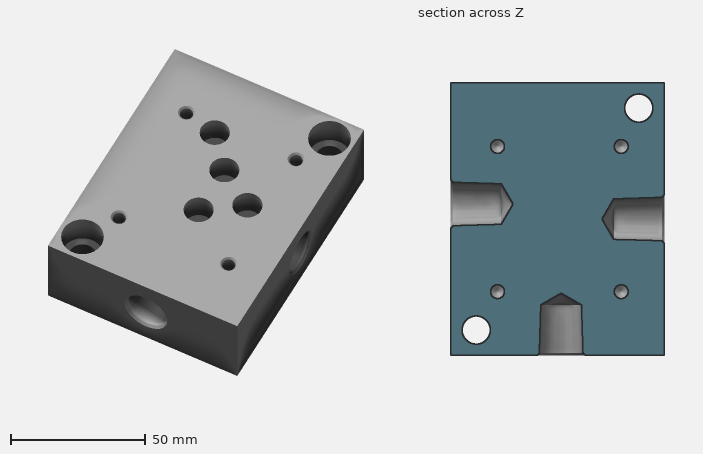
import cadquery as cq
import math

LENGTH_X = 79.5
LENGTH_Y = 101.6
HEIGHT = 31.75

BOLT_SPACING_X = 46.0
BOLT_SPACING_Y = 54.0
BOLT_CENTER_Y = LENGTH_Y / 2
BOLT_RIGHT_X = 63.45
BOLT_LEFT_X = BOLT_RIGHT_X - BOLT_SPACING_X
BOLT_FRONT_Y = BOLT_CENTER_Y - BOLT_SPACING_Y / 2
BOLT_BACK_Y = BOLT_CENTER_Y + BOLT_SPACING_Y / 2
TAP_DIAMETER = 4.98
TAP_MOUTH_DIAMETER = 6.35
TAP_MOUTH_DEPTH = (TAP_MOUTH_DIAMETER - TAP_DIAMETER) / 2
TAP_DEPTH = 16.0

FLOW_DIAMETER = 11.2
FLOW_DEPTH = 11.1
WORK_INSET = 21.4
WORK_OFFSET_Y = 10.3
PRESSURE_INSET = 6.3
TANK_INSET = 32.5
TANK_OFFSET_Y = 23.8
FLOW_HOLES = [
    (BOLT_RIGHT_X - WORK_INSET, BOLT_CENTER_Y - WORK_OFFSET_Y),
    (BOLT_RIGHT_X - WORK_INSET, BOLT_CENTER_Y + WORK_OFFSET_Y),
    (BOLT_RIGHT_X - PRESSURE_INSET, BOLT_CENTER_Y),
    (BOLT_RIGHT_X - TANK_INSET, BOLT_CENTER_Y + TANK_OFFSET_Y),
]

MOUNT_DIAMETER = 10.31
COUNTERBORE_DIAMETER = 15.88
COUNTERBORE_DEPTH = 12.0
MOUNT_INSET = 9.525
MOUNT_HOLES = [
    (MOUNT_INSET, MOUNT_INSET),
    (LENGTH_X - MOUNT_INSET, LENGTH_Y - MOUNT_INSET),
]

PORT_MOUTH_DIAMETER = 17.95
PORT_BORE_DIAMETER = 16.1
PORT_END_DIAMETER = 15.0
PORT_MOUTH_DEPTH = (PORT_MOUTH_DIAMETER - PORT_BORE_DIAMETER) / 2
PORT_DEPTH = 18.8
PORT_Z = HEIGHT / 2
PORT_A_Y = 56.4
PORT_B_X = 41.1

DRILL_POINT_ANGLE = 120.0


def drilled_cutter(mouth_diameter, mouth_depth, bore_diameter, end_diameter, depth):
    """Revolved drill shape: chamfered mouth at Z = 0, bore going down, conical tip."""
    end_radius = end_diameter / 2
    tip_length = end_radius / math.tan(math.radians(DRILL_POINT_ANGLE / 2))
    return (
        cq.Workplane("XZ")
        .lineTo(mouth_diameter / 2, 0)
        .lineTo(bore_diameter / 2, -mouth_depth)
        .lineTo(end_radius, -depth)
        .lineTo(0, -depth - tip_length)
        .close()
        .revolve(360, (0, 0, 0), (0, 1, 0))
    )


def cut_mount_holes(body):
    return (
        body.faces(">Z")
        .workplane(origin=(0, 0, HEIGHT))
        .pushPoints(MOUNT_HOLES)
        .cboreHole(MOUNT_DIAMETER, COUNTERBORE_DIAMETER, COUNTERBORE_DEPTH)
    )


def cut_flow_holes(body):
    return (
        body.faces(">Z")
        .workplane(origin=(0, 0, HEIGHT))
        .pushPoints(FLOW_HOLES)
        .hole(FLOW_DIAMETER, FLOW_DEPTH)
    )


def cut_bolt_holes(body):
    tap = drilled_cutter(TAP_MOUTH_DIAMETER, TAP_MOUTH_DEPTH, TAP_DIAMETER, TAP_DIAMETER, TAP_DEPTH)
    for x in (BOLT_LEFT_X, BOLT_RIGHT_X):
        for y in (BOLT_FRONT_Y, BOLT_BACK_Y):
            body = body.cut(tap.translate((x, y, HEIGHT)))
    return body


def cut_ports(body):
    port = drilled_cutter(
        PORT_MOUTH_DIAMETER, PORT_MOUTH_DEPTH, PORT_BORE_DIAMETER, PORT_END_DIAMETER, PORT_DEPTH
    )
    port_a = port.rotate((0, 0, 0), (0, 1, 0), -90).translate((0, PORT_A_Y, PORT_Z))
    port_b = port.rotate((0, 0, 0), (1, 0, 0), 90).translate((PORT_B_X, 0, PORT_Z))
    port_p = port.rotate((0, 0, 0), (0, 1, 0), 90).translate((LENGTH_X, BOLT_CENTER_Y, PORT_Z))
    return body.cut(port_a).cut(port_b).cut(port_p)


block = cq.Workplane("XY").box(LENGTH_X, LENGTH_Y, HEIGHT, centered=False)
result = cut_ports(cut_bolt_holes(cut_flow_holes(cut_mount_holes(block))))